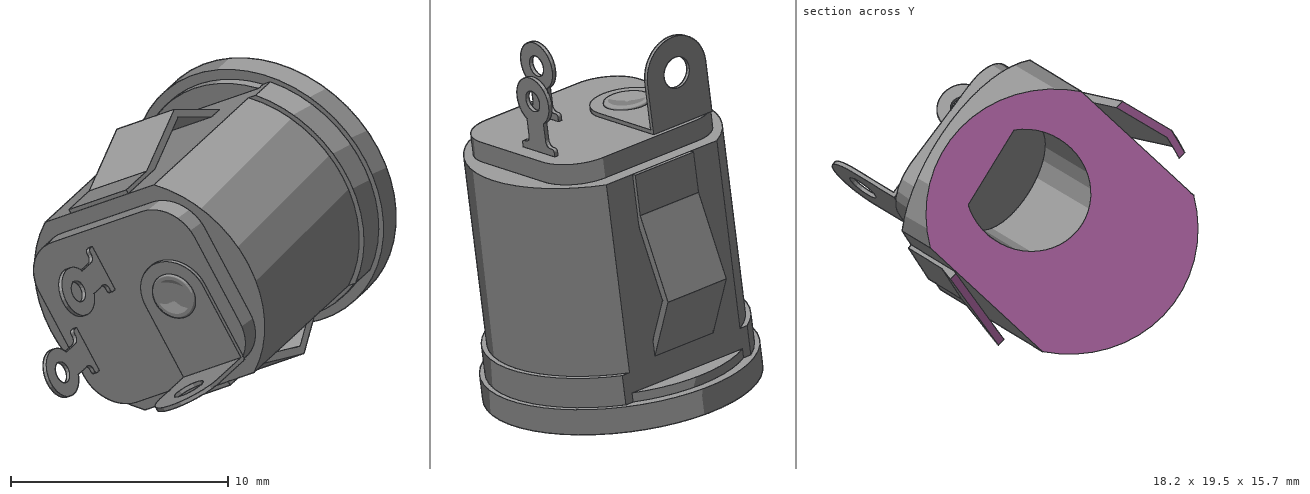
import cadquery as cq

axis_direction = (0.4646, -0.8237, 0.3250)
bore_side_direction = (0.5430, 0.5549, 0.6303)
jack = cq.Plane(origin=(0, 0, 0), xDir=bore_side_direction, normal=axis_direction)

flange_diameter = 13.0
flange_thickness = 1.25
collar_diameter = 12.5
collar_end = 2.7
barrel_diameter = 12.0
barrel_end = 12.0
flat_distance = 5.0
flat_start = 1.7
bore_diameter = 5.5
bore_offset = 2.0
bore_depth = 10.0

plate_length_x = 9.5
plate_length_y = 8.5
plate_corner_radius = 2.0
plate_thickness = 1.0
plate_face = barrel_end + plate_thickness

latch_width = 3.5
latch_start = 3.0
latch_peak = 6.0
latch_tail_start = 10.0
latch_peak_height = 1.5
latch_tail_height = 0.2
latch_strip_height = 0.4

bracket_thickness = 0.2
bracket_radius = 1.75
bracket_center_x = 2.25
tab_inner_face_y = -3.8
tab_hole_diameter = 1.5
tab_hole_z = 15.5
bracket_face = plate_face + bracket_thickness

rivet_head_radius = 1.12
rivet_head_height = 0.12
rivet_rim_fillet = 0.1
rivet_dish_radius = 0.87
rivet_dot_radius = 0.1
rivet_dish_depth = 0.1
rivet_shank_radius = 0.75

pin_thickness = 0.2
pin_base_width = 2.3
pin_base_height = 0.35
pin_base_corner = 0.15
pin_neck_width = 1.2
pin_neck_fillet = 0.3
pin_eye_radius = 1.15
pin_hole_diameter = 1.0
pin_eye_height = 2.5
pin_positions = [(-0.97, 2.3), (-4.0, -1.1)]


def cylinder(diameter, start, end, x=0.0):
    """Cylinder along the jack axis between two heights."""
    base = cq.Workplane("XY", origin=(x, 0, start))
    return base.circle(diameter / 2).extrude(end - start)


def slab_between_flats(start, end):
    """Block as thick as the distance across the flats."""
    base = cq.Workplane("XY", origin=(0, 0, start))
    return base.rect(2 * flange_diameter, 2 * flat_distance).extrude(end - start)


def make_housing():
    flange = cylinder(flange_diameter, 0, flange_thickness)
    collar = cylinder(collar_diameter, flange_thickness, collar_end)
    collar = collar.intersect(slab_between_flats(flange_thickness, collar_end))
    round_root = cylinder(barrel_diameter, flange_thickness, flat_start)
    barrel = cylinder(barrel_diameter, flat_start, barrel_end)
    barrel = barrel.intersect(slab_between_flats(flat_start, barrel_end))
    body = flange.union(collar).union(round_root).union(barrel)
    bore = cylinder(bore_diameter, 0, bore_depth, x=bore_offset)
    return body.cut(bore)


def make_rear_plate():
    plate = cq.Workplane("XY", origin=(0, 0, barrel_end))
    plate = plate.rect(plate_length_x, plate_length_y).extrude(plate_thickness)
    plate = plate.edges("|Z").fillet(plate_corner_radius)
    shank_hole = cylinder(2 * rivet_shank_radius, barrel_end, plate_face, x=bracket_center_x)
    return plate.cut(shank_hole)


def make_latch(side):
    """Latch strip on the flat at +Y (side 1) or -Y (side -1)."""
    inner_peak = latch_peak_height - latch_strip_height
    rise = latch_peak_height / (latch_peak - latch_start)
    fall = (latch_peak_height - latch_tail_height) / (latch_tail_start - latch_peak)
    outline = [
        (0, latch_start),
        (latch_peak_height, latch_peak),
        (latch_tail_height, latch_tail_start),
        (latch_tail_height, barrel_end),
        (0, barrel_end),
        (0, latch_peak + inner_peak / fall),
        (inner_peak, latch_peak),
        (0, latch_peak - inner_peak / rise),
    ]
    points = [(side * (flat_distance + height), z) for height, z in outline]
    return cq.Workplane("YZ").polyline(points).close().extrude(latch_width / 2, both=True)


def make_bracket():
    """Strip lying on the rear plate, bent square into a tab that points rearwards."""
    tab_outer_face_y = tab_inner_face_y - bracket_thickness
    strip_length = -tab_outer_face_y
    strip = cq.Workplane("XY", origin=(bracket_center_x, -strip_length / 2, plate_face))
    strip = strip.rect(2 * bracket_radius, strip_length).extrude(bracket_thickness)
    strip_end = cylinder(2 * bracket_radius, plate_face, bracket_face, x=bracket_center_x)
    tab = (
        cq.Workplane("XZ", origin=(bracket_center_x, tab_inner_face_y, 0))
        .moveTo(-bracket_radius, plate_face)
        .lineTo(bracket_radius, plate_face)
        .lineTo(bracket_radius, tab_hole_z)
        .threePointArc((0, tab_hole_z + bracket_radius), (-bracket_radius, tab_hole_z))
        .close()
        .moveTo(0, tab_hole_z)
        .circle(tab_hole_diameter / 2)
        .extrude(bracket_thickness)
    )
    shank_hole = cylinder(2 * rivet_shank_radius, plate_face, bracket_face, x=bracket_center_x)
    return strip.union(strip_end).union(tab).cut(shank_hole)


def make_rivet():
    """Shank through bracket and plate, with a round-rimmed head dished down to a small flat."""
    head_top = bracket_face + rivet_head_height
    dish_floor = head_top - rivet_dish_depth
    return (
        cq.Workplane("XZ")
        .moveTo(0, dish_floor)
        .lineTo(rivet_dot_radius, dish_floor)
        .tangentArcPoint((rivet_dish_radius, head_top), relative=False)
        .lineTo(rivet_head_radius - rivet_rim_fillet, head_top)
        .tangentArcPoint((rivet_head_radius, head_top - rivet_rim_fillet), relative=False)
        .lineTo(rivet_head_radius, bracket_face)
        .lineTo(rivet_shank_radius, bracket_face)
        .lineTo(rivet_shank_radius, barrel_end)
        .lineTo(0, barrel_end)
        .close()
        .revolve(360, (0, 0, 0), (0, 1, 0))
        .translate((bracket_center_x, 0, 0))
    )


def make_pin(x, y):
    """Flat pin on the rear plate with wide base, neck and round eye; x is its -X face."""
    start = cq.Workplane("YZ", origin=(x, y, plate_face))
    half_base = pin_base_width / 2
    half_neck = pin_neck_width / 2
    foot = (
        start.moveTo(0, 0)
        .lineTo(half_base, 0)
        .lineTo(half_base, pin_base_height - pin_base_corner)
        .tangentArcPoint((half_base - pin_base_corner, pin_base_height), relative=False)
        .lineTo(half_neck + pin_neck_fillet, pin_base_height)
        .tangentArcPoint((half_neck, pin_base_height + pin_neck_fillet), relative=False)
        .lineTo(half_neck, pin_eye_height)
        .lineTo(0, pin_eye_height)
        .mirrorY()
        .extrude(pin_thickness)
    )
    eye_center = start.center(0, pin_eye_height)
    eye = eye_center.circle(pin_eye_radius).extrude(pin_thickness)
    hole = eye_center.circle(pin_hole_diameter / 2).extrude(pin_thickness)
    return foot.union(eye).cut(hole)


bodies = [make_housing(), make_rear_plate(), make_bracket(), make_rivet()]
for side in (1, -1):
    bodies.append(make_latch(side))
for pin_x, pin_y in pin_positions:
    bodies.append(make_pin(pin_x, pin_y))

result = cq.Compound.makeCompound([body.val().moved(cq.Location(jack)) for body in bodies])